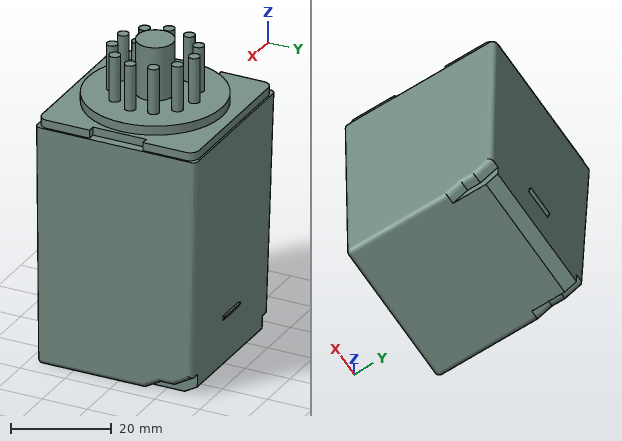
import cadquery as cq
import math

total_height = 69.0
body_width = 35.3
body_depth = 35.8
body_height = 53.35

side_draft = 0.9
back_draft = 1.4
edge_radius = 1.05

slope = math.tan(math.radians(30))
step_start_height = 4.4
step_shelf_height = 2.0
step_shelf_length = 3.05
core_chamfer_height = 1.6
core_inset = 2.4

catch_top = 12.55
catch_height = 1.05
catch_projection = 0.5
catch_width = 6.9

rim_inset = 0.4
rim_height = 1.8
rim_radius = 2.1
notch_depth = 1.5
notch_width = 11.9
disc_diameter = 29.8
disc_height = 2.0

post_diameter = 7.95
key_diameter = 2.35
key_top = 67.6
pin_count = 11
pin_diameter = 2.35
pin_circle_radius = 8.7
pin_top = 67.15

back_y = body_depth / 2
bottom_back_y = back_y - back_draft
bottom_width = body_width - 2 * side_draft
rim_top = body_height + rim_height
disc_top = rim_top + disc_height


def back_y_at(height):
    """Y of the leaning back face at a given height."""
    return bottom_back_y + back_draft * height / body_height


def prism_along_x(points, width):
    """Prism with a YZ outline, centred on X = 0."""
    return cq.Workplane("YZ").polyline(points).close().extrude(width / 2, both=True)


def cylinder(x, y, diameter, bottom, top):
    return cq.Workplane("XY", origin=(x, y, bottom)).circle(diameter / 2).extrude(top - bottom)


def drafted_block():
    """Housing block with sharp edges and a vertical front."""
    return (
        cq.Workplane("XY")
        .center(0, -back_draft / 2)
        .rect(bottom_width, body_depth - back_draft)
        .workplane(offset=body_height)
        .center(0, back_draft / 2)
        .rect(body_width, body_depth)
        .loft(ruled=True)
    )


def housing_shell():
    """Block with the stepped cutaway and rounded edges."""
    start_y = back_y_at(step_start_height)
    shelf_back_y = start_y - (step_start_height - step_shelf_height) / slope
    shelf_front_y = shelf_back_y - step_shelf_length
    end_y = shelf_front_y - step_shelf_height / slope
    cutaway = prism_along_x(
        [
            (start_y, step_start_height),
            (shelf_back_y, step_shelf_height),
            (shelf_front_y, step_shelf_height),
            (end_y, 0),
            (back_y, 0),
            (back_y, step_start_height),
        ],
        body_width,
    )
    shell = drafted_block().cut(cutaway)
    lower_side_edges = shell.faces("<X or >X").edges().filter(
        lambda edge: edge.Center().z < step_start_height
    )
    front_edge = shell.faces("<Y").edges("<Z")
    tall_edges = shell.edges().filter(lambda edge: edge.BoundingBox().zlen > body_height / 2)
    return lower_side_edges.add(front_edge).add(tall_edges).fillet(edge_radius)


def housing_core():
    """Core set in from both sides, filling most of the cutaway."""
    core_height = 2 * step_start_height
    core_front_y = 0
    return prism_along_x(
        [
            (core_front_y, 0),
            (bottom_back_y - core_chamfer_height / slope, 0),
            (back_y_at(core_chamfer_height), core_chamfer_height),
            (back_y_at(core_height), core_height),
            (core_front_y, core_height),
        ],
        bottom_width - 2 * core_inset,
    )


def back_catch():
    """Wedge with a flat top that fades into the back face below."""
    root_y = back_y_at(catch_top)
    catch_bottom = catch_top - catch_height
    return prism_along_x(
        [
            (root_y - catch_projection, catch_top),
            (root_y + catch_projection, catch_top),
            (back_y_at(catch_bottom), catch_bottom),
            (root_y - catch_projection, catch_bottom),
        ],
        catch_width,
    )


def plug_base():
    """Rounded rim with a notch on each side, carrying a round disc."""
    rim_width = body_width - 2 * rim_inset
    rim = (
        cq.Workplane("XY", origin=(0, 0, body_height))
        .rect(rim_width, body_depth - 2 * rim_inset)
        .extrude(rim_height)
        .edges("|Z")
        .fillet(rim_radius)
    )
    notches = (
        cq.Workplane("XY", origin=(0, 0, body_height))
        .pushPoints([(-rim_width / 2, 0), (rim_width / 2, 0)])
        .rect(2 * notch_depth, notch_width)
        .extrude(rim_height)
    )
    return rim.cut(notches).union(cylinder(0, 0, disc_diameter, rim_top, disc_top))


def guide_post():
    """Central post with a round key on its front side."""
    post = cylinder(0, 0, post_diameter, disc_top, total_height)
    return post.union(cylinder(0, -post_diameter / 2, key_diameter, disc_top, key_top))


def pins():
    """Ring of contact pins, the first one towards the back."""
    ring = cq.Workplane("XY")
    for index in range(pin_count):
        angle = math.radians(90 + index * 360 / pin_count)
        x = pin_circle_radius * math.cos(angle)
        y = pin_circle_radius * math.sin(angle)
        ring = ring.add(cylinder(x, y, pin_diameter, disc_top, pin_top))
    return ring.combine()


result = (
    housing_shell()
    .union(housing_core())
    .union(back_catch())
    .union(plug_base())
    .union(guide_post())
    .union(pins())
)